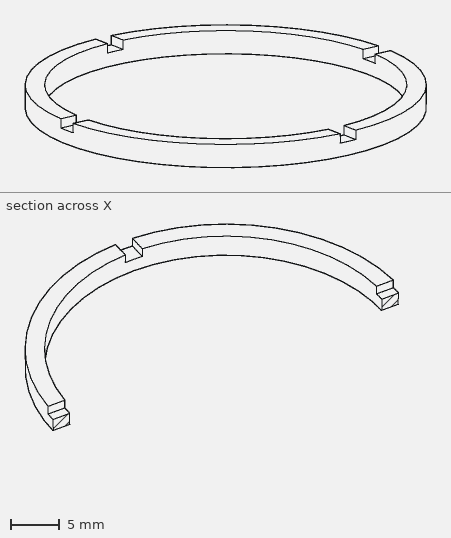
import cadquery as cq

outer_diameter = 41.0
wall = 2.0
height = 2.5
inner_diameter = outer_diameter - 2 * wall

notch_width = 2.0
notch_depth = 1.0
bar_length = outer_diameter + 2 * wall


def make_ring():
    """Plain flat ring standing on the XY plane."""
    return (
        cq.Workplane("XY")
        .circle(outer_diameter / 2)
        .circle(inner_diameter / 2)
        .extrude(height)
    )


def make_notch_cutter(angle):
    """Bar that crosses the whole ring and cuts two opposite notches."""
    return (
        cq.Workplane("XY")
        .workplane(offset=height - notch_depth)
        .rect(bar_length, notch_width)
        .extrude(notch_depth)
        .rotate((0, 0, 0), (0, 0, 1), angle)
    )


result = make_ring()
for angle in (0, 90):
    result = result.cut(make_notch_cutter(angle))